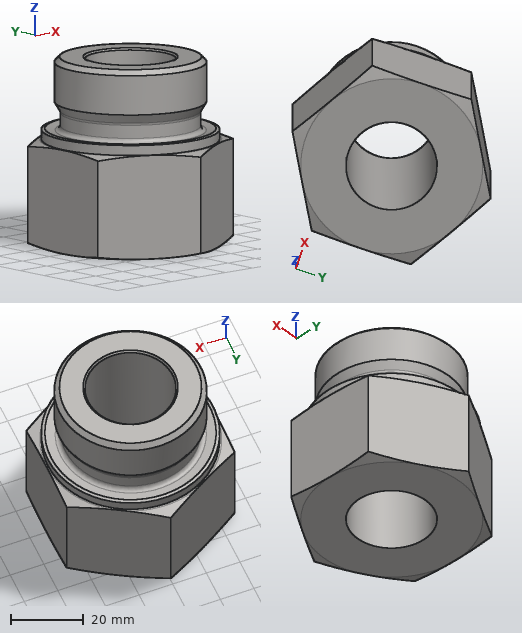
import cadquery as cq
import math

hex_across_corners = 57.75
hex_across_flats = hex_across_corners * math.cos(math.pi / 6)
total_height = 52.0

hex_height = 29.0
hex_corner_drop = 1.05

collar_diameter = 49.0
collar_rim_diameter = 47.05
collar_height = 3.0
collar_edge_drop = 0.25
dish_diameter = 41.55
dish_depth = 0.4

neck_diameter = 38.6
neck_base_fillet = 1.25
neck_cone_fillet = 1.25
spigot_diameter = 41.9
spigot_chamfer = 1.45
cone_start_height = 36.85
cone_end_height = 39.6

bore_diameter = 25.0
bore_chamfer = 0.5

collar_top = hex_height + collar_height

edge_margin = 0.05


def make_hexagon():
    """Hexagon with corners on Y, trimmed by a cone at both ends."""
    prism = (
        cq.Workplane("XY")
        .polygon(6, hex_across_corners)
        .extrude(hex_height)
        .rotate((0, 0, 0), (0, 0, 1), 90)
    )
    face_radius = hex_across_flats / 2
    corner_radius = hex_across_corners / 2
    envelope = (
        cq.Workplane("XZ")
        .moveTo(0, 0)
        .lineTo(face_radius, 0)
        .lineTo(corner_radius, hex_corner_drop)
        .lineTo(corner_radius, hex_height - hex_corner_drop)
        .lineTo(face_radius, hex_height)
        .lineTo(0, hex_height)
        .close()
        .revolve(360, (0, 0, 0), (0, 1, 0))
    )
    return prism.intersect(envelope)


def make_turned_end():
    """Dished collar, filleted neck, flaring cone and spigot as one turned profile."""
    collar_radius = collar_diameter / 2
    neck_radius = neck_diameter / 2
    spigot_radius = spigot_diameter / 2

    dish_slope = dish_depth / ((collar_rim_diameter - dish_diameter) / 2)
    dish_bottom = collar_top - dish_slope * (collar_rim_diameter - neck_diameter) / 2

    body = (
        cq.Workplane("XZ")
        .moveTo(0, hex_height)
        .lineTo(collar_radius, hex_height)
        .lineTo(collar_radius, collar_top - collar_edge_drop)
        .lineTo(collar_rim_diameter / 2, collar_top)
        .lineTo(neck_radius, dish_bottom)
        .lineTo(neck_radius, cone_start_height)
        .lineTo(spigot_radius, cone_end_height)
        .lineTo(spigot_radius, total_height - spigot_chamfer)
        .lineTo(spigot_radius - spigot_chamfer, total_height)
        .lineTo(0, total_height)
        .close()
        .revolve(360, (0, 0, 0), (0, 1, 0))
    )
    body = fillet_neck_edge(body, dish_bottom, neck_base_fillet)
    return fillet_neck_edge(body, cone_start_height, neck_cone_fillet)


def fillet_neck_edge(body, height, radius):
    """Round the circular edge at one end of the neck."""
    reach = neck_diameter / 2 + edge_margin
    edge_box = cq.selectors.BoxSelector(
        (-reach, -reach, height - edge_margin),
        (reach, reach, height + edge_margin),
        boundingbox=True,
    )
    return body.edges(edge_box).fillet(radius)


def make_bore():
    bore_radius = bore_diameter / 2
    rim_radius = bore_radius + bore_chamfer
    return (
        cq.Workplane("XZ")
        .lineTo(bore_radius, 0)
        .lineTo(bore_radius, total_height - bore_chamfer)
        .lineTo(rim_radius, total_height)
        .lineTo(0, total_height)
        .close()
        .revolve(360, (0, 0, 0), (0, 1, 0))
    )


result = make_hexagon().union(make_turned_end()).cut(make_bore())